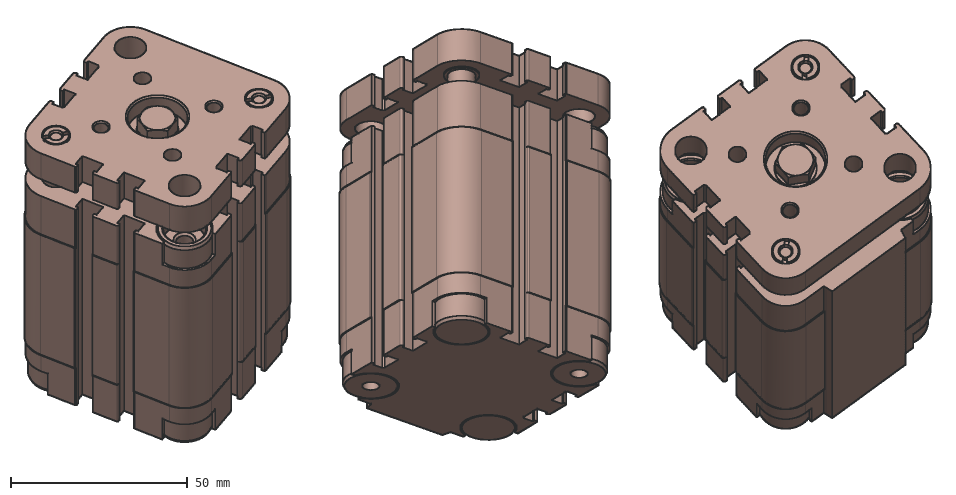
import cadquery as cq
import math

total_height = 92.0
housing_height = 75.5
tube_width = 60.0
cap_width = 59.4
plate_width = 59.4
plate_thickness = 10.0
plate_bottom = total_height - plate_thickness
top_cap_height = 14.7
bottom_cap_height = 14.4
guide_offset = 21.0
guide_corners = [(-guide_offset, -guide_offset), (guide_offset, guide_offset)]
mount_corners = [(-guide_offset, guide_offset), (guide_offset, -guide_offset)]

slot_offset = 6.8
slot_mouth_width = 5.2
slot_pocket_width = 6.8
slot_depth = 5.2
slot_lip = 1.5
mouth_chamfer_depth = 0.15
front_mouth_easing = 0.4
side_mouth_easing = 0.65
side_floor_chamfer = 0.5
slot_floor = tube_width / 2 - slot_depth
slot_lip_inside = tube_width / 2 - slot_lip

rail_height = 2.5
rail_base_width = 28.0
rail_top_width = 27.0
rail_foot_width = 28.4
rail_foot_height = 0.35
rail_top_land = 0.3

boss_diameter = 16.0
boss_end_diameter = 15.0
boss_chamfer_height = 1.0
corner_cut_start = 18.7
corner_cut_depth = 8.0
boss_recess_diameter = 12.0
boss_recess_chamfer = 0.4
boss_recess_depth = 4.4
mount_thread_diameter = 4.92
mount_thread_mouth = 6.3

rod_diameter = 12.0
rod_flat_width = 10.0
rod_flat_bottom = 77.1
nut_across_flats = 10.0
nut_top = 91.5
nut_chamfer_diameter = 10.0
nut_chamfer_height = 0.5
rod_collar_height = 0.3
rod_engagement = top_cap_height

guide_diameter = 8.0
guide_collar_diameter = 10.1
guide_collar_height = 0.4
guide_end_chamfer = 0.4
guide_slot_width = 1.2
guide_slot_depth = 1.5
guide_socket_diameter = 4.13
guide_socket_floor_diameter = 3.3
guide_socket_depth = 0.6

center_bore_diameter = 17.0
center_bore_depth = 5.6
center_bore_chamfer = 0.5
access_hole_diameter = 9.0
plate_hole_offset = 33.0 / 2 / math.sqrt(2)
pin_hole_diameter = 5.0
plate_thread_diameter = 4.13
plate_countersink_depth = (pin_hole_diameter - plate_thread_diameter) / 2


def cylinder(x, y, bottom, top, diameter):
    return cq.Workplane("XY", origin=(x, y, bottom)).circle(diameter / 2).extrude(top - bottom)


def cone(x, y, bottom, top, bottom_diameter, top_diameter):
    solid = cq.Solid.makeCone(bottom_diameter / 2, top_diameter / 2, top - bottom, cq.Vector(x, y, bottom))
    return cq.Workplane(obj=solid)


def block(x_span, y_span, z_span):
    """Box between pairs of limits."""
    sizes = [high - low for low, high in (x_span, y_span, z_span)]
    corner = (x_span[0], y_span[0], z_span[0])
    return cq.Workplane("XY").box(*sizes, centered=False).translate(corner)


def rounded_square(width, bottom, top):
    """Square prism whose corners are rounded about the guide axes."""
    prism = cq.Workplane("XY", origin=(0, 0, bottom)).rect(width, width).extrude(top - bottom)
    return prism.edges("|Z").fillet(width / 2 - guide_offset)


def t_slot(face, easing, bottom, top):
    """T-slot on the +X half of a -Y face; the mouth is rounded on its inner edge, chamfered on its outer."""
    mouth_left, mouth_right = slot_offset - slot_mouth_width / 2, slot_offset + slot_mouth_width / 2
    pocket_left, pocket_right = slot_offset - slot_pocket_width / 2, slot_offset + slot_pocket_width / 2
    arc_start = (mouth_left - easing, -face)
    arc_inset = easing * (1 - math.sin(math.pi / 4))
    arc_middle = (mouth_left - arc_inset, arc_inset - face)
    return (
        cq.Workplane("XY", origin=(0, 0, bottom))
        .moveTo(*arc_start)
        .threePointArc(arc_middle, (mouth_left, easing - face))
        .lineTo(mouth_left, -slot_lip_inside)
        .lineTo(pocket_left, -slot_lip_inside)
        .lineTo(pocket_left, -slot_floor)
        .lineTo(pocket_right, -slot_floor)
        .lineTo(pocket_right, -slot_lip_inside)
        .lineTo(mouth_right, -slot_lip_inside)
        .lineTo(mouth_right, mouth_chamfer_depth - face)
        .lineTo(mouth_right + easing, -face)
        .close()
        .extrude(top - bottom)
    )


def slotted_section(width, bottom, top):
    """Length of the outer profile, with a pair of T-slots on the -Y, -X and +X sides."""
    section = rounded_square(width, bottom, top)
    front_slot = t_slot(width / 2, front_mouth_easing, bottom, top)
    side_slot = t_slot(width / 2, side_mouth_easing, bottom, top)
    outer_floor_corner = side_slot.edges("|Z").edges(">Y").edges(">X")
    side_slot = outer_floor_corner.chamfer(side_floor_chamfer)
    for slot, side_angle in ((front_slot, 0), (side_slot, -90), (side_slot, 90)):
        for half in (slot, slot.mirror("YZ")):
            section = section.cut(half.rotate((0, 0, 0), (0, 0, 1), side_angle))
    return section


def corner_relief(x, y, face, inward):
    """Cut that frees the outer side of a corner boss; inward is +1 up or -1 down from the end face."""
    depth_span = sorted((face, face + inward * corner_cut_depth))
    reach = tube_width / 2 + 1
    x_span = sorted((math.copysign(corner_cut_start, x), math.copysign(reach, x)))
    y_span = sorted((math.copysign(corner_cut_start, y), math.copysign(reach, y)))
    relief = block(x_span, y_span, depth_span).cut(cylinder(x, y, *depth_span, boss_diameter))
    rim_span = sorted((face, face + inward * boss_chamfer_height))
    diameters = (boss_end_diameter, boss_diameter) if inward > 0 else (boss_diameter, boss_end_diameter)
    groove = cylinder(x, y, *rim_span, boss_diameter).cut(cone(x, y, *rim_span, *diameters))
    return relief.union(groove)


def make_housing():
    body = slotted_section(tube_width, bottom_cap_height, housing_height - top_cap_height)
    body = body.union(slotted_section(cap_width, 0, bottom_cap_height))
    body = body.union(slotted_section(cap_width, housing_height - top_cap_height, housing_height))

    side = cap_width / 2
    rail_top = tube_width / 2 + rail_height
    rail = (
        cq.Workplane("XY")
        .polyline([
            (-rail_foot_width / 2, side),
            (rail_foot_width / 2, side),
            (rail_base_width / 2, tube_width / 2 + rail_foot_height),
            (rail_top_width / 2, rail_top - rail_top_land),
            (rail_top_width / 2, rail_top),
            (-rail_top_width / 2, rail_top),
            (-rail_top_width / 2, rail_top - rail_top_land),
            (-rail_base_width / 2, tube_width / 2 + rail_foot_height),
        ])
        .close()
        .extrude(housing_height)
    )
    body = body.union(rail)

    for x, y in mount_corners:
        body = body.cut(corner_relief(x, y, housing_height, -1))
        recess_floor = housing_height - boss_recess_depth
        body = body.cut(cylinder(x, y, recess_floor, housing_height, boss_recess_diameter))
        body = body.cut(cone(
            x, y, housing_height - boss_recess_chamfer, housing_height,
            boss_recess_diameter, boss_recess_diameter + 2 * boss_recess_chamfer,
        ))
        mouth_depth = (mount_thread_mouth - mount_thread_diameter) / 2
        body = body.cut(cylinder(x, y, 0, housing_height, mount_thread_diameter))
        body = body.cut(cone(
            x, y, recess_floor - mouth_depth, recess_floor, mount_thread_diameter, mount_thread_mouth,
        ))

    for x, y in mount_corners + guide_corners:
        body = body.cut(corner_relief(x, y, 0, 1))

    rod_end = housing_height - rod_engagement
    body = body.cut(cylinder(0, 0, rod_end, housing_height, rod_diameter))
    for x, y in guide_corners:
        body = body.cut(cylinder(x, y, rod_end, housing_height, guide_diameter))
    return body


def make_piston_rod(bore_floor):
    rod_end = housing_height - rod_engagement
    collar_top = bore_floor + rod_collar_height
    rod = cylinder(0, 0, rod_end, collar_top, rod_diameter)
    flats = block(
        (-rod_diameter, rod_diameter), (rod_flat_width / 2, rod_diameter), (rod_flat_bottom, plate_bottom)
    )
    rod = rod.cut(flats).cut(flats.mirror("XZ"))
    nut = (
        cq.Workplane("XY", origin=(0, 0, collar_top))
        .polygon(6, nut_across_flats / math.cos(math.pi / 6))
        .extrude(nut_top - collar_top)
        .rotate((0, 0, 0), (0, 0, 1), 30)
    )
    chamfer_bottom = nut_top - nut_chamfer_height
    chamfer_base_diameter = nut_across_flats / math.cos(math.pi / 6)
    envelope = cylinder(0, 0, collar_top, chamfer_bottom, chamfer_base_diameter).union(
        cone(0, 0, chamfer_bottom, nut_top, chamfer_base_diameter, nut_chamfer_diameter)
    )
    return rod.union(nut.intersect(envelope))


def guide_end_cut(x, y):
    """Chamfer groove, diagonal driver slot and countersunk socket in the end of a guide rod."""
    chamfer_bottom = total_height - guide_end_chamfer
    tip_diameter = guide_diameter - 2 * guide_end_chamfer
    groove = cylinder(x, y, chamfer_bottom, total_height, guide_diameter).cut(
        cone(x, y, chamfer_bottom, total_height, guide_diameter, tip_diameter)
    )
    slot = (
        cq.Workplane("XY", origin=(0, 0, total_height - guide_slot_depth))
        .rect(guide_diameter, guide_slot_width)
        .extrude(guide_slot_depth)
        .rotate((0, 0, 0), (0, 0, 1), 45)
        .translate((x, y, 0))
        .intersect(cylinder(x, y, total_height - guide_slot_depth, total_height, guide_diameter))
        .cut(cylinder(x, y, total_height - guide_slot_depth, total_height, guide_socket_diameter))
    )
    socket = cone(
        x, y, total_height - guide_socket_depth, total_height,
        guide_socket_floor_diameter, guide_socket_diameter,
    )
    return groove.union(slot).union(socket)


def make_yoke():
    yoke = slotted_section(plate_width, plate_bottom, total_height)

    bore_floor = total_height - center_bore_depth
    yoke = yoke.cut(cylinder(0, 0, bore_floor, total_height, center_bore_diameter))
    yoke = yoke.cut(cone(
        0, 0, total_height - center_bore_chamfer, total_height,
        center_bore_diameter, center_bore_diameter + 2 * center_bore_chamfer,
    ))
    yoke = yoke.union(make_piston_rod(bore_floor))

    for x, y in mount_corners:
        yoke = yoke.cut(cylinder(x, y, plate_bottom, total_height, access_hole_diameter))

    for side in (-1, 1):
        offset = side * plate_hole_offset
        yoke = yoke.cut(cylinder(-offset, offset, plate_bottom, total_height, pin_hole_diameter))
        yoke = yoke.cut(cylinder(offset, offset, plate_bottom, total_height, plate_thread_diameter))
        yoke = yoke.cut(cone(
            offset, offset, total_height - plate_countersink_depth, total_height,
            plate_thread_diameter, pin_hole_diameter,
        ))

    for x, y in guide_corners:
        guide = cylinder(x, y, housing_height - rod_engagement, plate_bottom, guide_diameter)
        collar = cylinder(x, y, plate_bottom - guide_collar_height, plate_bottom, guide_collar_diameter)
        yoke = yoke.union(guide).union(collar).cut(guide_end_cut(x, y))
    return yoke


housing = make_housing()
yoke = make_yoke()
result = cq.Compound.makeCompound([housing.val(), yoke.val()])